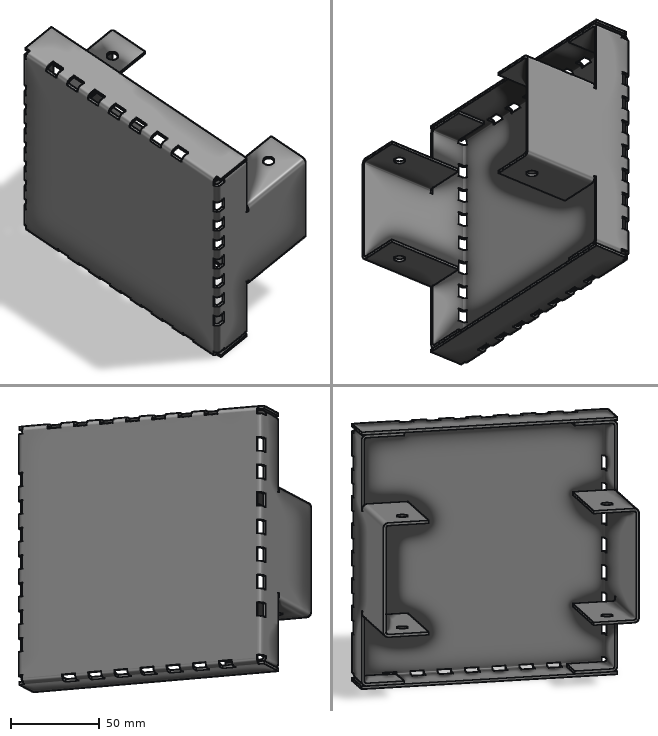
import cadquery as cq


panel_size = 150.0
total_depth = 75.0
flange_depth = 25.0
thickness = 1.6
inner_radius = 1.5

slot_count = 7
slot_row_span = 96.0
slot_row_start = 18.6
slot_length = 8.0
slot_depth = 6.0

lip_gap = 0.08
lip_reach = 25.0
lip_front = 6.5

bracket_height = 66.8
tab_reach = 26.7
relief_width = 1.5
relief_depth = 4.0
hole_diameter = 6.5
hole_from_side = 15.0
hole_from_rear = 15.0

half = panel_size / 2
outer_radius = inner_radius + thickness
flat_half = half - outer_radius
lip_top = half - thickness - lip_gap
bracket_top = bracket_height / 2
tab_front = flange_depth + relief_width
slot_pitch = slot_row_span / (slot_count - 1)


def block(x_range, y_range, z_range):
    """Box spanning the given (low, high) ranges."""
    sizes = [high - low for low, high in (x_range, y_range, z_range)]
    corner = (x_range[0], y_range[0], z_range[0])
    return cq.Workplane("XY").box(*sizes, centered=False).translate(corner)


def quarter_bend(plane, centre, side_u, side_v, start, end):
    """Quarter ring in the (side_u, side_v) quadrant around centre, swept from start to end."""
    sketch = cq.Workplane(plane).workplane(offset=start).center(*centre)
    ring = sketch.circle(outer_radius).circle(inner_radius).extrude(end - start)
    quadrant = sketch.rect(side_u * outer_radius, side_v * outer_radius, centered=False)
    return ring.intersect(quadrant.extrude(end - start))


def turned(body, angle):
    """Body rotated about the Y axis through the panel centre."""
    return body.rotate((0, 0, 0), (0, 1, 0), angle)


def top_flange():
    """Full-width top flange with the bend that joins it to the panel."""
    bend = quarter_bend("YZ", (outer_radius, flat_half), -1, 1, -flat_half, flat_half)
    flat = block((-half, half), (outer_radius, flange_depth), (half - thickness, half))
    return flat.union(bend)


def folded_edge(top, front, rear, reach):
    """Bend and flat tab turned inwards from the upper edge of the left side flange."""
    centre = (-flat_half, top - outer_radius)
    bend = quarter_bend("XZ", centre, -1, 1, -rear, -front)
    tab = block((-flat_half, -half + reach), (front, rear), (top - thickness, top))
    return bend.union(tab)


def left_side():
    """Left flange with its front bend, both corner lips and the mounting bracket."""
    side_half = lip_top - outer_radius
    wall_x = (-half, -half + thickness)
    side = quarter_bend("XY", (-flat_half, outer_radius), -1, -1, -side_half, side_half)
    side = side.union(block(wall_x, (outer_radius, flange_depth), (-side_half, side_half)))

    neck_half = bracket_top - relief_depth
    bracket_half = bracket_top - outer_radius
    side = side.union(block(wall_x, (flange_depth, tab_front), (-neck_half, neck_half)))
    side = side.union(block(wall_x, (tab_front, total_depth), (-bracket_half, bracket_half)))

    lip = folded_edge(lip_top, lip_front, flange_depth, lip_reach)
    bracket_tab = folded_edge(bracket_top, tab_front, total_depth, tab_reach)
    for edge in (lip, bracket_tab):
        side = side.union(edge).union(edge.mirror("XY"))

    hole = (
        cq.Workplane("XY")
        .center(-half + hole_from_side, total_depth - hole_from_rear)
        .circle(hole_diameter / 2)
        .extrude(half, both=True)
    )
    return side.cut(hole)


def slot_row():
    """Row of slot cutters through the top bend, starting from the left corner."""
    row = cq.Workplane("XY")
    for index in range(slot_count):
        start = -half + slot_row_start + index * slot_pitch
        row = row.add(block((start, start + slot_length), (0, slot_depth), (flat_half, half)))
    return row.combine()


panel = block((-flat_half, flat_half), (0, thickness), (-flat_half, flat_half))
result = panel
for part in (top_flange(), left_side()):
    result = result.union(part).union(turned(part, 180))

top_row = slot_row()
for quarter in range(4):
    result = result.cut(turned(top_row, 90 * quarter))